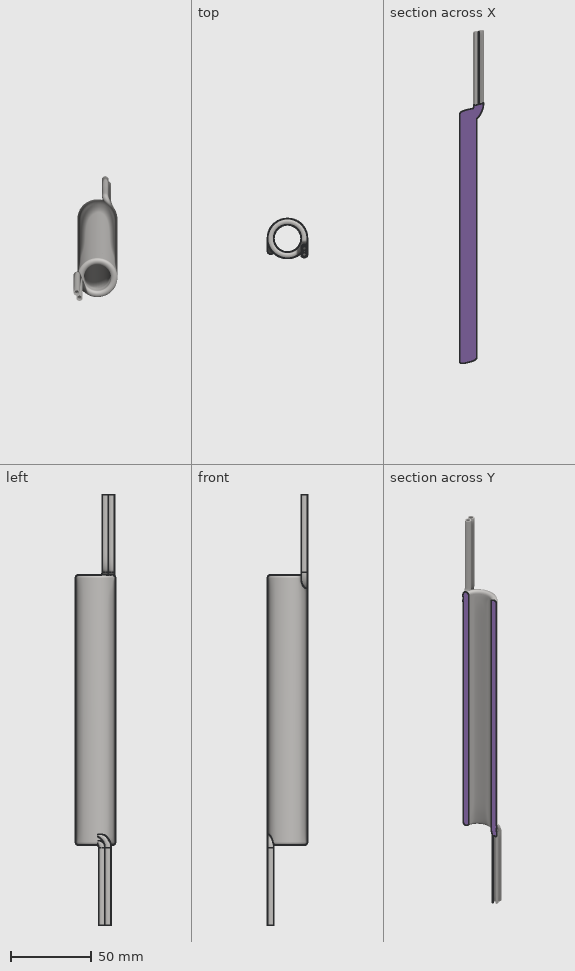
import cadquery as cq

total_length = 268.0
tube_diameter = 25.0
bore_diameter = 17.0
lead_reach = 49.8
wire_diameter = 4.0
core_diameter = 2.6
wire_spacing = 3.8
top_inner_bend_radius = 5.4
bottom_inner_bend_radius = 4.0
bend_clearance = 1.5
top_bend_y = -0.8
bottom_bend_y = 0.0

tube_half_length = total_length / 2 - lead_reach
bend_z = tube_half_length + bend_clearance
straight_length = total_length / 2 - bend_z
wire_x = (tube_diameter - wire_diameter) / 2


def make_tube():
    """Tube along Z, centred on the origin, with fully rounded rims."""
    outer_radius = tube_diameter / 2
    bore_radius = bore_diameter / 2
    rim_radius = (outer_radius - bore_radius) / 2
    middle_radius = bore_radius + rim_radius
    rim_z = tube_half_length - rim_radius
    return (
        cq.Workplane("XZ")
        .moveTo(bore_radius, -rim_z)
        .lineTo(bore_radius, rim_z)
        .threePointArc((middle_radius, tube_half_length), (outer_radius, rim_z))
        .lineTo(outer_radius, -rim_z)
        .threePointArc((middle_radius, -tube_half_length), (bore_radius, -rim_z))
        .close()
        .revolve(360, (0, 0, 0), (0, 1, 0))
    )


def make_wire(x, bend_y, bend_radius, side):
    """Straight hollow lead and quarter bend into the wall; side is +1 at the top, -1 at the bottom."""
    start = cq.Workplane("XY", origin=(x, bend_y - bend_radius, side * bend_z))
    straight = start.circle(wire_diameter / 2).circle(core_diameter / 2).extrude(side * straight_length)
    bend = start.circle(wire_diameter / 2).revolve(90, (0, bend_radius, 0), (side, bend_radius, 0))
    return straight.union(bend)


lead_pairs = (
    (1, wire_x, top_bend_y, top_inner_bend_radius),
    (-1, -wire_x, bottom_bend_y, bottom_inner_bend_radius),
)

result = make_tube()
for side, x, bend_y, inner_bend_radius in lead_pairs:
    for bend_radius in (inner_bend_radius, inner_bend_radius + wire_spacing):
        result = result.union(make_wire(x, bend_y, bend_radius, side))